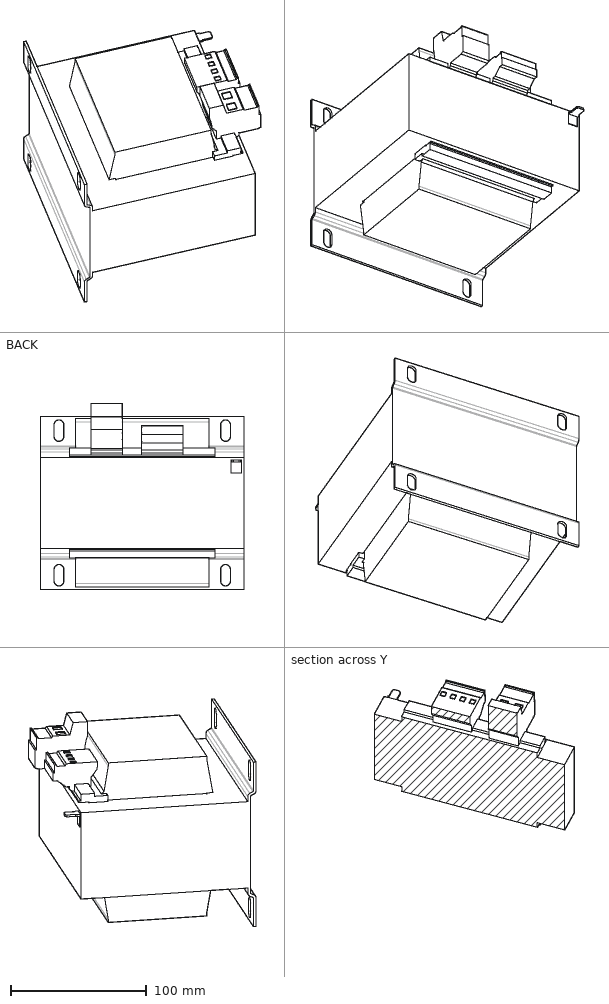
import cadquery as cq
import math


width = 150.0

bracket_height = 127.5
sheet = 2.1
joggle_offset = 4.2
joggle_start = 37.4
joggle_height = 4.4
bend_radius = 0.8
bend_angle = math.radians(60)
slot_width = 7.0
slot_length = 15.6
slot_pitch_x = 122.5
slot_pitch_z = 106.4

core_front = joggle_offset + sheet
core_back = 131.7
core_height = 67.0
core_top = core_height / 2
window_width = 100.5
window_front = 32.0
window_back = 107.0

coil_width = 98.1
coil_top = 62.0
coil_rim = 2.5
coil_top_front = 31.6
coil_top_back = 105.8
coil_base_front = 27.2
collar_back = 111.0
collar_start = 108.9
collar_height = 1.8

carrier_width = 107.1
carrier_front = 107.0
carrier_step = 116.8
carrier_back = 127.2
carrier_low = 38.2
carrier_high = 40.5
lip_back = 128.8
lip_top = 35.2
lip_gap = 0.6
lip_gap_front = 121.4

neck_front = 110.1
neck_height = 51.3
leg_front = 113.2
leg_height = 46.8
body_bottom = 39.0
clip_back = 130.8
clip_height = 36.6
clip = [
    (clip_back, body_bottom),
    (clip_back, clip_height),
    (lip_back, lip_top),
    (carrier_back, lip_top),
    (carrier_back, carrier_low),
]
opening_depth = 0.8

small_left = -30.0
small_width = 30.5
small_top = 56.8
small_front = 109.8
small_leg_front = 114.6
small_leg_height = 45.0
small_tail_top = 55.4
small_tail_front = 134.2
small_tail_slope = 1.0
small_rim_front = 140.1
small_rim_back = 142.0
small_rim_top = 56.4
small_foot_back = 143.2
small_foot_top = 50.4
small_foot_bottom = 44.1
small_foot_front = 140.0
small_belly_back = 133.8
small_poles = 4
small_first_pole = -26.5
small_pole_pitch = 7.6
small_opening_width = 3.6
small_opening_front = 125.1
small_opening_back = 129.3

large_left = 14.7
large_width = 23.1
large_top = 73.2
large_front = 107.8
large_front_bottom = 62.7
large_hollow = (109.4, 56.8)
large_head_back = 118.8
large_shelf_front = 121.2
large_shelf = 63.8
large_shelf_back = 134.0
large_tail_front = 135.0
large_tail_top = 62.5
large_rim_front = 144.6
large_rim_back = 146.2
large_rim_top = 63.3
large_foot_back = 147.6
large_foot_top = 54.0
large_foot_bottom = 39.9
large_foot_front = 145.2
large_poles = 2
large_first_pole = 20.8
large_pole_pitch = 11.4
large_opening_width = 6.0
large_opening_front = 123.6
large_opening_back = 130.0

rim_slope = 0.8

tab_center = -69.2
tab_back = 143.0
tab_top = 31.6
tab_thickness = 1.5
tab_root_width = 7.8
tab_root_back = 135.2
tab_width = 6.5
tab_chamfer = 1.2
tab_leg_thickness = 0.6
tab_leg_bottom = 21.9


def centered_box(size_x, front, back, bottom, top):
    """Box centered on X = 0 between the given Y and Z limits."""
    box = cq.Workplane("XY").box(size_x, back - front, top - bottom, centered=(True, False, False))
    return box.translate((0, front, bottom))


def side_extrusion(outline, left, length):
    """Extrude a (Y, Z) outline along X, starting at X = left."""
    return cq.Workplane("YZ").polyline(outline).close().extrude(length).translate((left, 0, 0))


def both_ends(upper):
    """Join a body with its mirror image below the mid-height."""
    return upper.union(upper.mirror("XY"))


def make_bracket():
    """Base plate joggled forward into an upper and a lower slotted flange."""
    outer_radius = bend_radius + sheet
    lower_center = (joggle_offset - bend_radius, joggle_start)
    upper_center = (sheet + bend_radius, joggle_start + joggle_height)

    def bend_points(center, radius):
        """Tangent point on the upright side, middle and far end of one bend arc."""
        angles = (0, bend_angle / 2, bend_angle)
        return [(center[0] + radius * math.cos(a), center[1] + radius * math.sin(a)) for a in angles]

    low_front = bend_points(lower_center, bend_radius)
    low_back = bend_points(lower_center, outer_radius)
    high_front = bend_points(upper_center, -outer_radius)
    high_back = bend_points(upper_center, -bend_radius)
    half_height = bracket_height / 2
    upper = (
        cq.Workplane("YZ")
        .moveTo(joggle_offset, 0)
        .lineTo(*low_front[0])
        .threePointArc(low_front[1], low_front[2])
        .lineTo(*high_front[2])
        .threePointArc(high_front[1], high_front[0])
        .lineTo(0, half_height)
        .lineTo(sheet, half_height)
        .lineTo(*high_back[0])
        .threePointArc(high_back[1], high_back[2])
        .lineTo(*low_back[2])
        .threePointArc(low_back[1], low_back[0])
        .lineTo(core_front, 0)
        .close()
        .extrude(width / 2, both=True)
    )
    slots = (
        cq.Workplane("XZ")
        .rarray(slot_pitch_x, slot_pitch_z, 2, 2)
        .slot2D(slot_length, slot_width, 90)
        .extrude(sheet, both=True)
    )
    return both_ends(upper).cut(slots)


def make_core():
    """Lamination stack with a window through it for the coil."""
    stack = centered_box(width, core_front, core_back, -core_top, core_top)
    window = centered_box(window_width, window_front, window_back, -core_top, core_top)
    return stack.cut(window)


def make_coil():
    """Coil filling the window and overhanging the core above and below it."""
    rim_bottom = coil_top - coil_rim
    outline = [
        (window_front, 0),
        (window_front, core_top),
        (coil_base_front, core_top),
        (coil_top_front, rim_bottom),
        (coil_top_front, coil_top),
        (coil_top_back, coil_top),
        (coil_top_back, rim_bottom),
        (collar_start, carrier_low + collar_height),
        (collar_back, carrier_low),
        (collar_back, core_top),
        (window_back, core_top),
        (window_back, 0),
    ]
    return both_ends(side_extrusion(outline, -coil_width / 2, coil_width))


def make_carriers():
    """Stepped terminal carriers on top of and below the core."""
    outline = [
        (carrier_front, core_top),
        (carrier_front, carrier_low),
        (carrier_step, carrier_low),
        (carrier_step, carrier_high),
        (carrier_back, carrier_high),
        (carrier_back, lip_top),
        (lip_back, lip_top),
        (lip_back, core_top + lip_gap),
        (lip_gap_front, core_top + lip_gap),
        (lip_gap_front, core_top),
    ]
    upper = side_extrusion(outline, -carrier_width / 2, carrier_width)
    return both_ends(upper)


def cut_openings(block, poles, first_pole, pitch, size_x, front, back, level):
    """Sink one rectangular opening per pole into the top of a block."""
    opening = centered_box(size_x, front, back, level - opening_depth, level)
    for pole in range(poles):
        block = block.cut(opening.translate((first_pole + pole * pitch, 0, 0)))
    return block


def make_small_block():
    """Four-pole terminal block."""
    outline = [
        (small_leg_front, carrier_low),
        (small_leg_front, small_leg_height),
        (neck_front, neck_height),
        (small_front, small_top),
        (small_tail_front - small_tail_slope, small_top),
        (small_tail_front, small_tail_top),
        (small_rim_front, small_tail_top),
        (small_rim_front + rim_slope, small_rim_top),
        (small_rim_back, small_rim_top),
        (small_rim_back, small_foot_top),
        (small_foot_back, small_foot_top),
        (small_foot_back, small_foot_bottom),
        (small_foot_front, small_foot_bottom),
        (small_belly_back, body_bottom),
    ]
    block = side_extrusion(outline + clip, small_left, small_width)
    return cut_openings(
        block, small_poles, small_first_pole, small_pole_pitch,
        small_opening_width, small_opening_front, small_opening_back, small_top,
    )


def make_large_block():
    """Two-pole terminal block with a raised head at the front."""
    outline = [
        (large_front, large_top),
        (large_head_back, large_top),
        (large_shelf_front, large_shelf),
        (large_shelf_back, large_shelf),
        (large_tail_front, large_tail_top),
        (large_rim_front, large_tail_top),
        (large_rim_front + rim_slope, large_rim_top),
        (large_rim_back, large_rim_top),
        (large_rim_back, large_foot_top),
        (large_foot_back, large_foot_top),
        (large_foot_back, large_foot_bottom),
        (large_foot_front, body_bottom),
    ]
    block = (
        cq.Workplane("YZ")
        .moveTo(leg_front, carrier_low)
        .lineTo(leg_front, leg_height)
        .lineTo(neck_front, neck_height)
        .threePointArc(large_hollow, (large_front, large_front_bottom))
        .polyline(outline + clip, includeCurrent=True)
        .close()
        .extrude(large_width)
        .translate((large_left, 0, 0))
    )
    return cut_openings(
        block, large_poles, large_first_pole, large_pole_pitch,
        large_opening_width, large_opening_front, large_opening_back, large_shelf,
    )


def make_earth_tab():
    """Flat earth tab with a stepped root, bent from a leg on the back of the core."""
    leg_back = core_back + tab_leg_thickness
    bottom = tab_top - tab_thickness
    leg = centered_box(tab_root_width, core_back, leg_back, tab_leg_bottom, tab_top)
    root = centered_box(tab_root_width, core_back, tab_root_back, bottom, tab_top)
    blade = centered_box(tab_width, core_back, tab_back, bottom, tab_top)
    blade = blade.edges(">Y and |Z").chamfer(tab_chamfer)
    return leg.union(root).union(blade).translate((tab_center, 0, 0))


result = (
    make_bracket()
    .union(make_core())
    .union(make_coil())
    .union(make_carriers())
    .union(make_small_block())
    .union(make_large_block())
    .union(make_earth_tab())
)